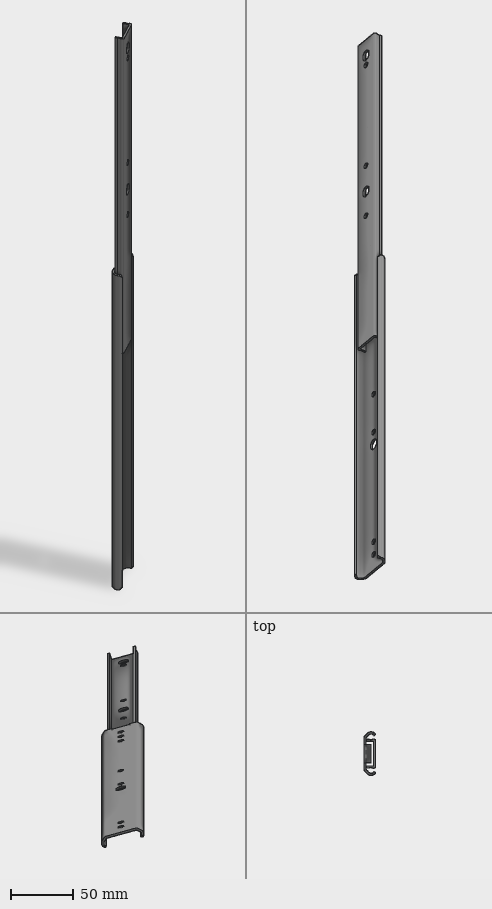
import cadquery as cq
import math

total_length = 531.5
half_depth = 5.0
rail_length = 305.0
sheet = 1.85

web_half_width = 12.0
shoulder_radius = 3.0
race_radius = 4.0
race_x = 1.0
bevel_angle = 45.0
lip_angle = 180 - bevel_angle
diagonal = math.sin(math.radians(bevel_angle))
shoulder_x = shoulder_radius - half_depth
bevel_offset = web_half_width - shoulder_x + (shoulder_radius - race_radius) / diagonal
race_y = race_x + bevel_offset
lip_corner = 2.0

inner_half_width = 11.5
inner_edge_x = -2.5
groove_start_x = -0.5
groove_end_x = 2.0
groove_depth = 0.35
groove_half_width = (groove_end_x - groove_start_x) / 2
groove_end_slope = 2 * math.atan(groove_depth / groove_half_width)
corner_radius = (half_depth - groove_end_x) / (1 + math.sin(groove_end_slope))

tab_width = 15.0
notch_depth = 2.0
tab_reach = 6.0

hole_diameter = 5.0
slot_width = 8.0
slot_length = 9.5
outer_hole_heights = [16.0, 28.5, 139.0, 177.5, 263.0, 276.0, 288.5]
outer_slot_heights = [127.0]
inner_hole_heights = [354.0, 404.5, 506.0]
inner_slot_heights = [378.5, 515.5]


def arc_point(center, radius, degrees):
    """Point on a circle in the XY plane, with the angle measured from -X towards +Y."""
    angle = math.radians(degrees)
    return (center[0] - radius * math.cos(angle), center[1] + radius * math.sin(angle))


def make_rail(half_profile, bottom):
    """Extrude half a section along Z and join it to its mirror image across the XZ plane."""
    half = half_profile.extrude(rail_length)
    return half.union(half.mirror("XZ")).translate((0, 0, bottom))


def cut_holes(rail, hole_heights, slot_heights):
    """Cut round holes and upright slots along X through the web centre line."""
    start = cq.Workplane("YZ").workplane(offset=-2 * half_depth)
    reach = 4 * half_depth
    holes = start.pushPoints([(0, z) for z in hole_heights]).circle(hole_diameter / 2).extrude(reach)
    slots = start.pushPoints([(0, z) for z in slot_heights]).slot2D(slot_length, slot_width, 90).extrude(reach)
    return rail.cut(holes).cut(slots)


def add_stop_tab(rail):
    """Notch the top of the outer web and fold a tab inwards at the notch floor."""
    notch_floor = rail_length - notch_depth
    block = cq.Workplane("XY").box(sheet, tab_width, notch_depth, centered=(False, True, False))
    notch = block.translate((-half_depth, 0, notch_floor))
    plate = cq.Workplane("XY").box(tab_reach, tab_width, sheet, centered=(False, True, False))
    tab = plate.translate((-half_depth, 0, notch_floor - sheet))
    return rail.cut(notch).union(tab)


def clip_lip_corners(rail):
    """Bevel the free corners of both lips at the two ends of the rail."""
    overall_width = 2 * (race_y + race_radius)
    start_x = half_depth - lip_corner
    for end_z, inward in ((0, 1), (rail_length, -1)):
        corner = (
            cq.Workplane("XZ")
            .moveTo(start_x, end_z)
            .lineTo(half_depth, end_z)
            .lineTo(half_depth, end_z + inward * lip_corner)
            .close()
            .extrude(overall_width, both=True)
        )
        rail = rail.cut(corner)
    return rail


def make_outer_rail():
    shoulder = (shoulder_x, web_half_width)
    race = (race_x, race_y)
    inner_shoulder = shoulder_radius - sheet
    inner_race = race_radius - sheet
    shoulder_middle = bevel_angle / 2
    outside_end = arc_point(race, race_radius, lip_angle)
    inside_end = arc_point(race, inner_race, lip_angle)
    lip_drop = half_depth - outside_end[0]
    profile = (
        cq.Workplane("XY")
        .moveTo(-half_depth, 0)
        .lineTo(-half_depth, web_half_width)
        .threePointArc(
            arc_point(shoulder, shoulder_radius, shoulder_middle),
            arc_point(shoulder, shoulder_radius, bevel_angle),
        )
        .lineTo(*arc_point(race, race_radius, bevel_angle))
        .threePointArc((race_x, race_y + race_radius), outside_end)
        .lineTo(half_depth, outside_end[1] - lip_drop)
        .lineTo(inside_end[0] + lip_drop, inside_end[1] - lip_drop)
        .lineTo(*inside_end)
        .threePointArc((race_x, race_y + inner_race), arc_point(race, inner_race, bevel_angle))
        .lineTo(*arc_point(shoulder, inner_shoulder, bevel_angle))
        .threePointArc(
            arc_point(shoulder, inner_shoulder, shoulder_middle),
            (sheet - half_depth, web_half_width),
        )
        .lineTo(sheet - half_depth, 0)
        .close()
    )
    rail = add_stop_tab(clip_lip_corners(make_rail(profile, 0)))
    return cut_holes(rail, outer_hole_heights, outer_slot_heights)


def make_inner_rail():
    inside_y = inner_half_width - sheet
    groove_middle = (groove_start_x + groove_half_width, inner_half_width - groove_depth)
    corner_x = half_depth - corner_radius
    corner_y = inner_half_width - corner_radius * math.cos(groove_end_slope)
    corner_crest = (corner_x, corner_y + corner_radius)
    profile = (
        cq.Workplane("XY")
        .moveTo(inner_edge_x, inside_y)
        .lineTo(inner_edge_x, inner_half_width)
        .lineTo(groove_start_x, inner_half_width)
        .threePointArc(groove_middle, (groove_end_x, inner_half_width))
        .threePointArc(corner_crest, (half_depth, corner_y))
        .lineTo(half_depth, 0)
        .lineTo(half_depth - sheet, 0)
        .lineTo(half_depth - sheet, inside_y)
        .close()
    )
    rail = make_rail(profile, total_length - rail_length)
    return cut_holes(rail, inner_hole_heights, inner_slot_heights)


outer_rail = make_outer_rail()
inner_rail = make_inner_rail()
result = cq.Compound.makeCompound([outer_rail.val(), inner_rail.val()])